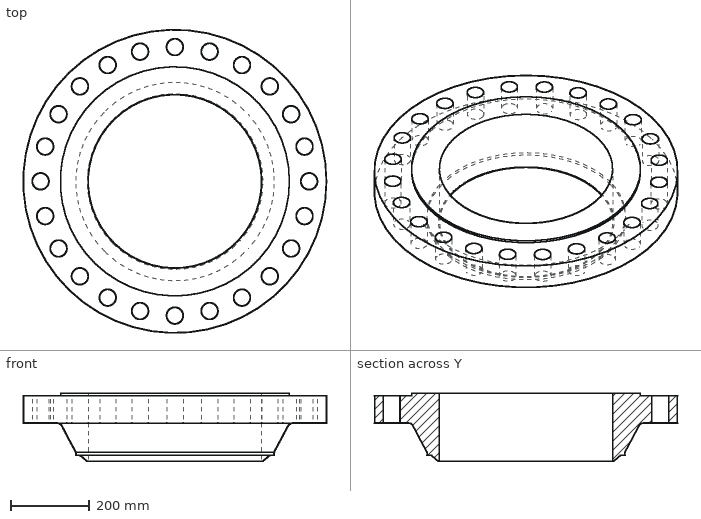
import cadquery as cq

flange_diameter = 775.0
flange_thickness = 70.5

raised_face_diameter = 585.0
raised_face_height = 6.0

overall_height = 174.0
hub_top_diameter = 586.0
rim_diameter = 507.0
rim_height = 8.0
hub_fillet_radius = 14.0

bevel_height = 15.5
bevel_top_diameter = 485.0
weld_end_diameter = 448.5
bevel_fillet_radius = 8.0

bore_diameter = 442.0
bolt_count = 24
bolt_circle_diameter = 685.5
bolt_hole_diameter = 42.0

edge_tolerance = 1.0

rim_bottom = bevel_height
rim_top = rim_bottom + rim_height
plate_top = overall_height - raised_face_height
plate_bottom = plate_top - flange_thickness


def make_plate():
    """Round flange plate with its raised sealing face."""
    plate = cq.Workplane("XY").workplane(offset=plate_bottom).circle(flange_diameter / 2)
    plate = plate.extrude(flange_thickness)
    return plate.faces(">Z").workplane().circle(raised_face_diameter / 2).extrude(raised_face_height)


def make_hub():
    """Solid of revolution for the weld bevel, the rim and the tapered hub."""
    profile = (
        cq.Workplane("XZ")
        .moveTo(0, 0)
        .lineTo(weld_end_diameter / 2, 0)
        .lineTo(bevel_top_diameter / 2, rim_bottom)
        .lineTo(rim_diameter / 2, rim_bottom)
        .lineTo(rim_diameter / 2, rim_top)
        .lineTo(hub_top_diameter / 2, plate_bottom)
        .lineTo(0, plate_bottom)
        .close()
    )
    return profile.revolve(360, (0, 0, 0), (0, 1, 0))


def centered_box(half_width, height):
    """Selector for edges inside a thin square box centered on the axis."""
    low_corner = (-half_width, -half_width, height - edge_tolerance)
    high_corner = (half_width, half_width, height + edge_tolerance)
    return cq.selectors.BoxSelector(low_corner, high_corner, boundingbox=True)


def circle_edge_at(diameter, height):
    """Selector for the circular edge of the given diameter at the given height."""
    radius = diameter / 2
    return centered_box(radius + edge_tolerance, height) - centered_box(radius - edge_tolerance, height)


body = make_plate().union(make_hub())

body = body.edges(circle_edge_at(hub_top_diameter, plate_bottom)).fillet(hub_fillet_radius)
body = body.edges(circle_edge_at(bevel_top_diameter, rim_bottom)).fillet(bevel_fillet_radius)

bore = cq.Workplane("XY").circle(bore_diameter / 2).extrude(overall_height)
bolt_holes = (
    cq.Workplane("XY")
    .workplane(offset=plate_bottom)
    .polarArray(bolt_circle_diameter / 2, 0, 360, bolt_count)
    .circle(bolt_hole_diameter / 2)
    .extrude(flange_thickness)
)

result = body.cut(bore).cut(bolt_holes)